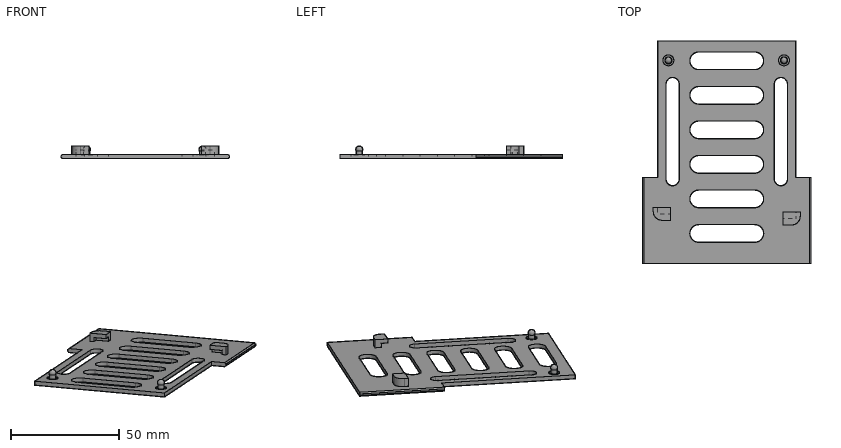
import cadquery as cq

total_length = 103.0
foot_width = 78.0
foot_length = 40.0
tongue_width = 64.0
plate_thickness = 2.0
total_height = 5.9
edge_chamfer = 0.6

vent_count = 6
vent_pitch = 16.0
vent_length = 34.0
vent_width = 8.0
first_vent_y = 14.0

side_slot_length = 50.0
side_slot_width = 6.0
side_slot_x = 25.0
side_slot_y = total_length - 41.9

pin_diameter = 3.0
pin_head_radius = 1.6
pin_head_z = total_height - pin_head_radius
left_pin_x = -27.0
right_pin_x = 26.5
pin_y = total_length - 9.0
recess_diameter = 5.0
recess_depth = 0.3

clip_width = 8.0
clip_depth = 6.0
clip_corner_radius = 4.0
clip_inner_x = 26.0
left_clip_y = 20.1
right_clip_y = 17.9
clip_wall = 2.0
clip_pocket_depth = 3.0
clip_pocket_height = 2.0


def make_plate():
    """Foot and tongue in one slab, with the long foot edges chamfered top and bottom."""
    foot = (
        cq.Workplane("XY")
        .box(foot_width, foot_length, plate_thickness, centered=(True, False, False))
        .edges("|Y")
        .chamfer(edge_chamfer)
    )
    tongue = cq.Workplane("XY").box(
        tongue_width, total_length, plate_thickness, centered=(True, False, False)
    )
    return foot.union(tongue)


def make_slots():
    """Cutters for the vent row and the two side slots."""
    vents = [(0, first_vent_y + i * vent_pitch) for i in range(vent_count)]
    sides = [(-side_slot_x, side_slot_y), (side_slot_x, side_slot_y)]
    vent_cutters = (
        cq.Workplane("XY").pushPoints(vents).slot2D(vent_length, vent_width).extrude(plate_thickness)
    )
    side_cutters = (
        cq.Workplane("XY")
        .pushPoints(sides)
        .slot2D(side_slot_length, side_slot_width, 90)
        .extrude(plate_thickness)
    )
    return vent_cutters.union(side_cutters)


def make_pin():
    """Round stem with a slightly larger ball on top, rooted in the plate."""
    stem = cq.Workplane("XY").circle(pin_diameter / 2).extrude(pin_head_z)
    ball = cq.Workplane("XY").sphere(pin_head_radius).translate((0, 0, pin_head_z))
    return stem.union(ball)


def make_clip(front_y):
    """Right-hand post with a rounded outer front corner and a pocket open to the inside and the back."""
    post = (
        cq.Workplane("XY")
        .box(clip_width, clip_depth, total_height, centered=False)
        .edges("|Z and >X and <Y")
        .fillet(clip_corner_radius)
    )
    pocket = (
        cq.Workplane("XY")
        .box(clip_width - clip_wall, clip_pocket_depth, clip_pocket_height, centered=False)
        .translate((0, clip_depth - clip_pocket_depth, plate_thickness))
    )
    return post.cut(pocket).translate((clip_inner_x, front_y, 0))


result = make_plate().cut(make_slots())

pin_points = [(left_pin_x, pin_y), (right_pin_x, pin_y)]
recesses = (
    cq.Workplane("XY", origin=(0, 0, plate_thickness))
    .pushPoints(pin_points)
    .circle(recess_diameter / 2)
    .extrude(-recess_depth)
)
result = result.cut(recesses)
for x, y in pin_points:
    result = result.union(make_pin().translate((x, y, 0)))

result = result.union(make_clip(right_clip_y))
result = result.union(make_clip(left_clip_y).mirror("YZ"))